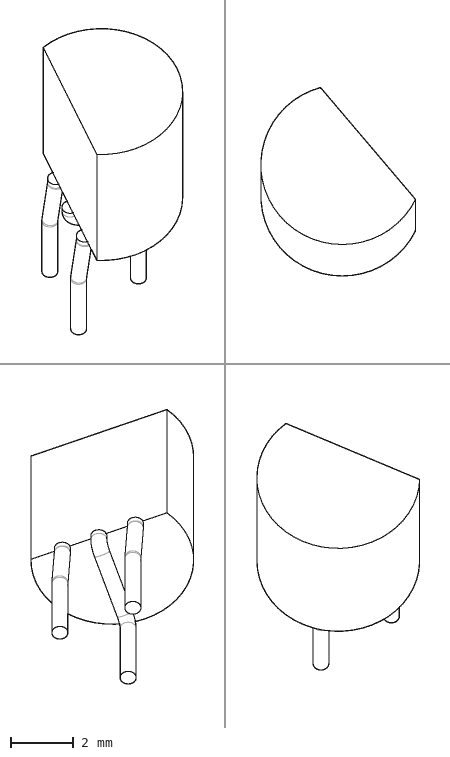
import cadquery as cq
import math

TOTAL_HEIGHT = 9.91
HOUSING_RADIUS = 2.6
HOUSING_HEIGHT = 5.33
FLAT_Y = -1.07
HOUSING_BOTTOM = TOTAL_HEIGHT - HOUSING_HEIGHT

LEAD_DIAMETER = 0.52
LEAD_PITCH = 1.27
BEND_RADIUS = 0.5
STUB_LENGTH = 0.19
STRAIGHT_LENGTH = 2.54
LEAD_TOP_Y = FLAT_Y
OUTER_FOOT_Y = -LEAD_PITCH
MIDDLE_FOOT_Y = LEAD_PITCH


def make_housing():
    half_flat = math.sqrt(HOUSING_RADIUS**2 - FLAT_Y**2)
    return (
        cq.Workplane("XY", origin=(0, 0, HOUSING_BOTTOM))
        .moveTo(-half_flat, FLAT_Y)
        .threePointArc((0, HOUSING_RADIUS), (half_flat, FLAT_Y))
        .close()
        .extrude(HOUSING_HEIGHT)
    )


def make_lead(x, foot_y):
    """Wire from the housing underside down to a foot offset in Y."""
    side = math.copysign(1, foot_y - LEAD_TOP_Y)
    upper_bend_z = HOUSING_BOTTOM - STUB_LENGTH

    center_run = abs(foot_y - LEAD_TOP_Y) - 2 * BEND_RADIUS
    center_drop = upper_bend_z - STRAIGHT_LENGTH
    slant_length = math.sqrt(center_run**2 + center_drop**2 - (2 * BEND_RADIUS) ** 2)
    bend_angle = math.atan2(center_run, center_drop) + math.atan2(2 * BEND_RADIUS, slant_length)

    def upper_bend_point(angle):
        shift = BEND_RADIUS * (1 - math.cos(angle))
        return (LEAD_TOP_Y + side * shift, upper_bend_z - BEND_RADIUS * math.sin(angle))

    def lower_bend_point(angle):
        shift = BEND_RADIUS * (1 - math.cos(angle))
        return (foot_y - side * shift, STRAIGHT_LENGTH + BEND_RADIUS * math.sin(angle))

    path = (
        cq.Workplane("YZ", origin=(x, 0, 0))
        .moveTo(foot_y, 0)
        .lineTo(foot_y, STRAIGHT_LENGTH)
        .threePointArc(lower_bend_point(bend_angle / 2), lower_bend_point(bend_angle))
        .lineTo(*upper_bend_point(bend_angle))
        .threePointArc(upper_bend_point(bend_angle / 2), (LEAD_TOP_Y, upper_bend_z))
        .lineTo(LEAD_TOP_Y, HOUSING_BOTTOM)
    )
    return (
        cq.Workplane("XY", origin=(x, foot_y, 0))
        .circle(LEAD_DIAMETER / 2)
        .sweep(path)
    )


housing = make_housing()
middle_lead = make_lead(0, MIDDLE_FOOT_Y)
outer_leads = [make_lead(x, OUTER_FOOT_Y) for x in (-LEAD_PITCH, LEAD_PITCH)]

result = cq.Compound.makeCompound(
    [housing.val(), middle_lead.val(), *[lead.val() for lead in outer_leads]]
)